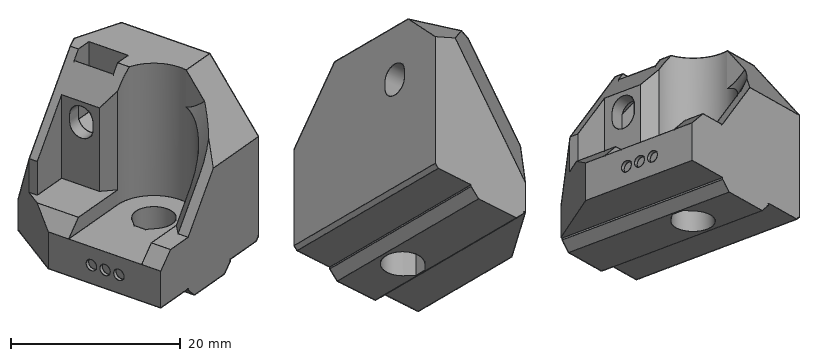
import cadquery as cq
import math

WIDTH = 24.5
DEPTH = 20.0
HEIGHT = 24.4

BASE_BOTTOM = 1.45
LEDGE_Z = 8.45
FRONT_CHAMFER = 2.0
CHANNEL_FLOOR_Z = LEDGE_Z - FRONT_CHAMFER
REAR_CHAMFER = 0.5
RAIL_REAR = 5.75
RAIL_FRONT = 14.3
RAIL_CHAMFER = 1.2

CORNER_CUT_X = 8.25
CORNER_CUT_DEPTH = 14.53
WALL_FRONT = 16.5
WALL_INNER_X = 4.2

SLOPE = 1.357
LEFT_SLOPE_START = 8.1
RIGHT_SLOPE_START = 2.65
EDGE_BEVEL_X = 3.01
EDGE_BEVEL_START = 0.64
CORNER_BEVEL = 4.7
CORNER_BEVEL_DEPTH = 12.45
SIDE_CHAMFER_X = 7.03
SIDE_CHAMFER_DROP = 8.97

CHANNEL_X = 16.46
CHANNEL_DEPTH = 10.02
CHANNEL_RADIUS = 5.27
CHANNEL_REAR = CHANNEL_DEPTH - CHANNEL_RADIUS
FLARE_START_X = WIDTH - SIDE_CHAMFER_X
FLARE_REAR = CHANNEL_DEPTH - math.sqrt(CHANNEL_RADIUS**2 - (FLARE_START_X - CHANNEL_X) ** 2)
FLARE_WIDTH = 1.32
FLARE_SETBACK = 1.52

BORE_RADIUS = 2.62
BORE_FLAT = 2.9

POCKET_REAR = 11.52
POCKET_BEVEL = 1.55
HOLE_X = 7.03
HOLE_WIDTH = 3.35
HOLE_LOW_Z = 14.82
HOLE_HIGH_Z = 19.15
NUT_WIDTH = 5.65
NUT_REAR = 5.95
NUT_FRONT = 8.97
NUT_SEAT_FRONT = 9.73
NUT_Z = HOLE_LOW_Z + HOLE_WIDTH / 2
NUT_CORNER_RADIUS = NUT_WIDTH / math.sqrt(3)

MARKER_DIAMETER = 1.5
MARKER_PITCH = 1.98
MARKER_Z = 3.97
MARKER_DEPTH = 0.5

CUTTER_SIZE = 4 * WIDTH


def side_prism(depth_z_points, x_start, x_end):
    """Extrude a (depth, z) outline along X."""
    points = [(-depth, z) for depth, z in depth_z_points]
    return cq.Workplane("YZ").workplane(offset=x_start).polyline(points).close().extrude(x_end - x_start)


def plan_prism(x_depth_points, z_start, z_end):
    """Extrude an (x, depth) outline upwards."""
    points = [(x, -depth) for x, depth in x_depth_points]
    return cq.Workplane("XY").workplane(offset=z_start).polyline(points).close().extrude(z_end - z_start)


def half_space(point, normal):
    """Large block on the side of a plane that the normal points to."""
    plane = cq.Plane(origin=point, normal=normal)
    return cq.Workplane(plane).rect(CUTTER_SIZE, CUTTER_SIZE).extrude(CUTTER_SIZE)


def make_block():
    block = side_prism(
        [
            (0, BASE_BOTTOM + REAR_CHAMFER),
            (REAR_CHAMFER, BASE_BOTTOM),
            (DEPTH, BASE_BOTTOM),
            (DEPTH, CHANNEL_FLOOR_Z),
            (DEPTH - FRONT_CHAMFER, LEDGE_Z),
            (WALL_FRONT, LEDGE_Z),
            (WALL_FRONT, HEIGHT - SLOPE * (WALL_FRONT - LEFT_SLOPE_START)),
            (LEFT_SLOPE_START, HEIGHT),
            (0, HEIGHT),
        ],
        0, WIDTH,
    )
    rail = side_prism(
        [
            (RAIL_REAR, LEDGE_Z),
            (RAIL_REAR, RAIL_CHAMFER),
            (RAIL_REAR + RAIL_CHAMFER, 0),
            (RAIL_FRONT - RAIL_CHAMFER, 0),
            (RAIL_FRONT, RAIL_CHAMFER),
            (RAIL_FRONT, LEDGE_Z),
        ],
        0, WIDTH,
    )
    return block.union(rail)


def corner_cut():
    return plan_prism([(0, CORNER_CUT_DEPTH), (CORNER_CUT_X, DEPTH), (0, DEPTH)], 0, HEIGHT)


def left_edge_bevel():
    x_per_depth = (LEFT_SLOPE_START - EDGE_BEVEL_START) / EDGE_BEVEL_X
    return half_space((0, -EDGE_BEVEL_START, HEIGHT), (-SLOPE * x_per_depth, -SLOPE, 1))


def rear_corner_bevel():
    normal = (-1 / CORNER_BEVEL, 1 / CORNER_BEVEL_DEPTH, 1 / CORNER_BEVEL)
    return half_space((CORNER_BEVEL, 0, HEIGHT), normal)


def right_side_chamfer():
    return half_space((WIDTH - SIDE_CHAMFER_X, 0, HEIGHT), (SIDE_CHAMFER_DROP, 0, SIDE_CHAMFER_X))


def right_slope():
    """Lower slope right of the channel, stopping at the rear plane of the flare."""
    slope_end = RIGHT_SLOPE_START + (HEIGHT - LEDGE_Z) / SLOPE
    return side_prism(
        [
            (FLARE_REAR, HEIGHT),
            (FLARE_REAR, HEIGHT - SLOPE * (FLARE_REAR - RIGHT_SLOPE_START)),
            (slope_end, LEDGE_Z),
            (DEPTH, LEDGE_Z),
            (DEPTH, HEIGHT),
        ],
        FLARE_START_X, WIDTH,
    )


def channel():
    bottom = cq.Workplane("XY").workplane(offset=CHANNEL_FLOOR_Z)
    return (
        bottom.moveTo(CHANNEL_X - CHANNEL_RADIUS, -DEPTH)
        .lineTo(CHANNEL_X - CHANNEL_RADIUS, -CHANNEL_DEPTH)
        .threePointArc((CHANNEL_X, -CHANNEL_REAR), (CHANNEL_X + CHANNEL_RADIUS, -CHANNEL_DEPTH))
        .lineTo(CHANNEL_X + CHANNEL_RADIUS, -DEPTH)
        .close()
        .extrude(HEIGHT - CHANNEL_FLOOR_Z)
    )


def flare_outline(radius, slope_start):
    """Right half of a channel outline of the given radius, seen from above, laid on a sloping plane."""
    steepness = math.hypot(1, SLOPE)
    plane = cq.Plane(
        origin=(CHANNEL_X, -CHANNEL_DEPTH, HEIGHT - SLOPE * (CHANNEL_DEPTH - slope_start)),
        xDir=(1, 0, 0),
        normal=(0, -SLOPE, 1),
    )
    front = -steepness * DEPTH
    outline = (
        cq.Workplane(plane).ellipseArc(radius, steepness * radius, 0, 90, startAtCurrent=False)
        .lineTo(0, front)
        .lineTo(radius, front)
        .close()
    )
    return outline.val()


def channel_flare():
    inner = flare_outline(CHANNEL_RADIUS, RIGHT_SLOPE_START - FLARE_SETBACK)
    outer = flare_outline(CHANNEL_RADIUS + FLARE_WIDTH, RIGHT_SLOPE_START)
    flare = cq.Workplane(cq.Solid.makeLoft([inner, outer], True))
    limits = plan_prism(
        [(FLARE_START_X, FLARE_REAR), (WIDTH, FLARE_REAR), (WIDTH, DEPTH), (FLARE_START_X, DEPTH)],
        LEDGE_Z, HEIGHT,
    )
    return flare.intersect(limits)


def bore():
    tangent = BORE_RADIUS * math.sqrt(0.5)
    flat_half = 2 * tangent - BORE_FLAT
    point = plan_prism(
        [
            (CHANNEL_X - tangent, CHANNEL_DEPTH + tangent),
            (CHANNEL_X - flat_half, CHANNEL_DEPTH + BORE_FLAT),
            (CHANNEL_X + flat_half, CHANNEL_DEPTH + BORE_FLAT),
            (CHANNEL_X + tangent, CHANNEL_DEPTH + tangent),
        ],
        0, LEDGE_Z,
    )
    round_part = cq.Workplane("XY").center(CHANNEL_X, -CHANNEL_DEPTH).circle(BORE_RADIUS).extrude(LEDGE_Z)
    return round_part.union(point)


def screw_pocket():
    right = CHANNEL_X - CHANNEL_RADIUS
    return plan_prism(
        [
            (WALL_INNER_X, POCKET_REAR),
            (right - POCKET_BEVEL, POCKET_REAR),
            (right, POCKET_REAR - POCKET_BEVEL),
            (CHANNEL_X, POCKET_REAR - POCKET_BEVEL),
            (CHANNEL_X, DEPTH),
            (WALL_INNER_X, DEPTH),
        ],
        LEDGE_Z, HEIGHT,
    )


def screw_hole():
    return (
        cq.Workplane("XZ")
        .center(HOLE_X, (HOLE_LOW_Z + HOLE_HIGH_Z) / 2)
        .slot2D(HOLE_HIGH_Z - HOLE_LOW_Z, HOLE_WIDTH, 90)
        .extrude(DEPTH)
    )


def nut_slot():
    """Slot open at the top whose pointed floor is the lower end of a hexagon around the hole."""
    half = NUT_WIDTH / 2
    return (
        cq.Workplane("XZ").workplane(offset=NUT_REAR)
        .moveTo(HOLE_X - half, HEIGHT)
        .lineTo(HOLE_X - half, NUT_Z - NUT_CORNER_RADIUS / 2)
        .lineTo(HOLE_X, NUT_Z - NUT_CORNER_RADIUS)
        .lineTo(HOLE_X + half, NUT_Z - NUT_CORNER_RADIUS / 2)
        .lineTo(HOLE_X + half, HEIGHT)
        .close()
        .extrude(NUT_FRONT - NUT_REAR)
    )


def nut_seat():
    """Hexagonal recess in the slot's front wall that holds the nut."""
    corners = []
    for step in range(6):
        angle = math.radians(90 + 60 * step)
        x = HOLE_X + NUT_CORNER_RADIUS * math.cos(angle)
        z = NUT_Z + NUT_CORNER_RADIUS * math.sin(angle)
        corners.append((x, z))
    return (
        cq.Workplane("XZ").workplane(offset=NUT_FRONT)
        .polyline(corners).close()
        .extrude(NUT_SEAT_FRONT - NUT_FRONT)
    )


def marker_holes():
    return (
        cq.Workplane("XZ").workplane(offset=DEPTH - MARKER_DEPTH)
        .pushPoints([(CHANNEL_X + step * MARKER_PITCH, MARKER_Z) for step in (-1, 0, 1)])
        .circle(MARKER_DIAMETER / 2)
        .extrude(MARKER_DEPTH)
    )


result = make_block()
for cutter in (
    corner_cut, left_edge_bevel, rear_corner_bevel, right_side_chamfer, right_slope, channel,
    channel_flare, bore, screw_pocket, screw_hole, nut_slot, nut_seat, marker_holes,
):
    result = result.cut(cutter())